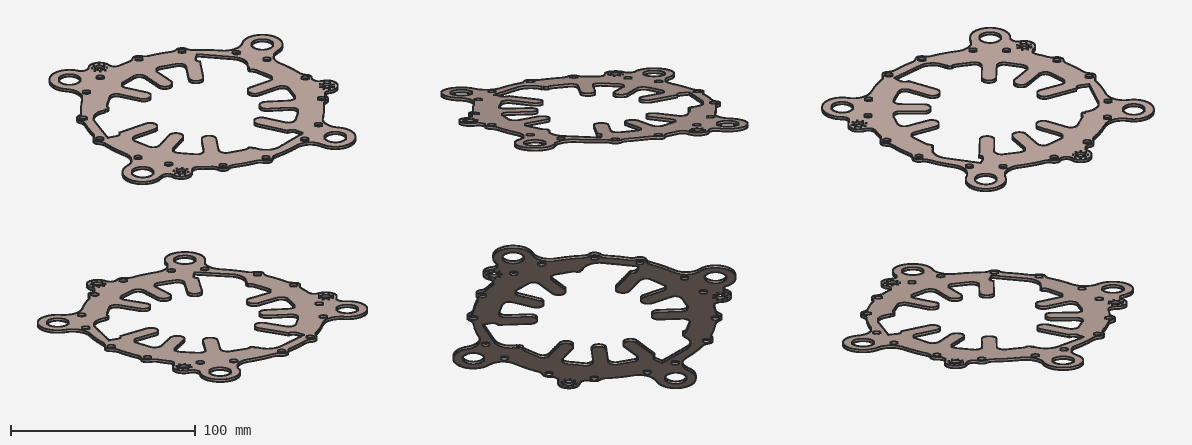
import cadquery as cq
import math

THICKNESS = 1.6
DISC_RADIUS = 65.9

LOBE_OFFSET = 55.8
LOBE_RADIUS = 11.0
LOBE_HOLE = 12.0
LOBE_BLEND = 10.0

TAB_DISTANCE = 72.0
TAB_RADIUS = 6.0
TAB_HOLE = 5.2
TAB_ANGLES = (90, 210, 330)
PIN_HOLE = 0.6
PIN_CIRCLE_RADIUS = 4.0
PIN_COUNT = 8

BOLT_DISTANCE = 65.5
BOLT_HOLE = 4.2
BOSS_RADIUS = 3.5
BOSS_ANGLE = 11
LOBE_BOLT_ANGLE = 37
BOSS_BLEND = 5.0
TAB_BLEND = 4.0

WINDOW_APOTHEM = 51.8
WINDOW_SIDES = 12
FINGER_WIDTH = 8.0
FINGER_END_DISTANCE = 35.0
FINGER_ROOT_RADIUS = 4.0
FINGER_OVERLAP = 2.9
FINGER_SPACING = 360 / WINDOW_SIDES
HALF_SIDE_ANGLE = 180 / WINDOW_SIDES

PATTERN_ANGLES = (0, 120, 240)
MISSING_FINGER = 255
POCKET_LEFT = -16.6
POCKET_RIGHT = 12.8
POCKET_DEPTH = 59.8
POCKET_LARGE_RADIUS = 9.5
POCKET_SMALL_RADIUS = 3.2
POCKET_LIP = 49.1
POCKET_MOUTH = 43.7


def polar(distance, angle):
    return (
        distance * math.cos(math.radians(angle)),
        distance * math.sin(math.radians(angle)),
    )


def angles_beside_axes(offset):
    return [axis + turn for axis in (0, 90, 180, 270) for turn in (-offset, offset)]


def cylinder(center, radius):
    return cq.Workplane("XY").center(*center).circle(radius).extrude(THICKNESS)


def prism(points):
    return cq.Workplane("XY").polyline(points).close().extrude(THICKNESS)


def turned(solid, angle):
    return solid.rotate((0, 0, 0), (0, 0, 1), angle)


def blend(first, second, radius):
    """Web that rounds the notch on the left of the way from the first circle to the second."""
    (x1, y1), r1 = first
    (x2, y2), r2 = second
    span = math.hypot(x2 - x1, y2 - y1)
    ux, uy = (x2 - x1) / span, (y2 - y1) / span
    reach1, reach2 = r1 + radius, r2 + radius
    along = (reach1**2 - reach2**2 + span**2) / (2 * span)
    aside = math.sqrt(reach1**2 - along**2)
    center = (x1 + ux * along - uy * aside, y1 + uy * along + ux * aside)
    return prism([(x1, y1), (x2, y2), center]).cut(cylinder(center, radius))


def finger():
    """Finger along +X with a rounded inner end, sunk into the frame beyond the window side."""
    length = WINDOW_APOTHEM + FINGER_OVERLAP - FINGER_END_DISTANCE
    bar = (
        cq.Workplane("XY")
        .center(FINGER_END_DISTANCE + length / 2, 0)
        .rect(length, FINGER_WIDTH)
        .extrude(THICKNESS)
    )
    return bar.union(cylinder((FINGER_END_DISTANCE, 0), FINGER_WIDTH / 2))


def finger_root(side):
    """Web between a finger along +X and the window side at +Y (side 1) or -Y (side -1)."""
    slope = math.radians(HALF_SIDE_ANGLE)
    half = FINGER_WIDTH / 2
    corner_x = (WINDOW_APOTHEM - half * math.sin(slope)) / math.cos(slope)
    center_y = half + FINGER_ROOT_RADIUS
    center_x = (WINDOW_APOTHEM - FINGER_ROOT_RADIUS - center_y * math.sin(slope)) / math.cos(slope)
    touch_x = center_x + FINGER_ROOT_RADIUS * math.cos(slope)
    touch_y = center_y + FINGER_ROOT_RADIUS * math.sin(slope)
    points = [(center_x, half), (corner_x, half), (touch_x, touch_y), (center_x, center_y)]
    web = prism([(x, side * y) for x, y in points])
    return web.cut(cylinder((center_x, side * center_y), FINGER_ROOT_RADIUS))


def pocket():
    """Pocket below the window, with a flared left lip and one large and one small round corner."""
    flare = POCKET_LIP - POCKET_MOUTH
    large, small = POCKET_LARGE_RADIUS, POCKET_SMALL_RADIUS
    diagonal = math.sqrt(0.5)
    large_mid = (POCKET_LEFT + large * (1 - diagonal), -POCKET_DEPTH + large * (1 - diagonal))
    small_mid = (POCKET_RIGHT - small * (1 - diagonal), -WINDOW_APOTHEM - small * (1 - diagonal))
    return (
        cq.Workplane("XY")
        .moveTo(POCKET_LEFT - flare, -POCKET_MOUTH)
        .lineTo(POCKET_LEFT, -POCKET_LIP)
        .lineTo(POCKET_LEFT, -POCKET_DEPTH + large)
        .threePointArc(large_mid, (POCKET_LEFT + large, -POCKET_DEPTH))
        .lineTo(POCKET_RIGHT, -POCKET_DEPTH)
        .lineTo(POCKET_RIGHT, -WINDOW_APOTHEM - small)
        .threePointArc(small_mid, (POCKET_RIGHT - small, -WINDOW_APOTHEM))
        .lineTo(0, -WINDOW_APOTHEM)
        .lineTo(0, -POCKET_MOUTH)
        .close()
        .extrude(THICKNESS)
    )


disc = ((0, 0), DISC_RADIUS)
lobes = [
    ((sx * LOBE_OFFSET, sy * LOBE_OFFSET), LOBE_RADIUS)
    for sx, sy in ((1, 1), (-1, 1), (-1, -1), (1, -1))
]
tabs = [(polar(TAB_DISTANCE, angle), TAB_RADIUS) for angle in TAB_ANGLES]
boss_angles = angles_beside_axes(BOSS_ANGLE)
bosses = [(polar(BOLT_DISTANCE, angle), BOSS_RADIUS) for angle in boss_angles]

plate = cylinder(*disc)
for circle in lobes + tabs + bosses:
    plate = plate.union(cylinder(*circle))
top_tab, left_tab, right_tab = tabs
right_boss, left_boss = bosses[2:4]
lower_left_lobe, lower_right_lobe = lobes[2:]

disc_blends = [(lobe, LOBE_BLEND) for lobe in lobes] + [(boss, BOSS_BLEND) for boss in bosses]
for circle, radius in disc_blends:
    plate = plate.union(blend(circle, disc, radius)).union(blend(disc, circle, radius))
plate = plate.union(blend(left_tab, disc, TAB_BLEND)).union(blend(disc, right_tab, TAB_BLEND))

neighbours = [
    (right_boss, top_tab),
    (top_tab, left_boss),
    (left_tab, lower_left_lobe),
    (lower_right_lobe, right_tab),
]
for first, second in neighbours:
    plate = plate.union(blend(second, first, TAB_BLEND))
    plate = plate.union(prism([disc[0], first[0], second[0]]))

corner_distance = WINDOW_APOTHEM / math.cos(math.radians(HALF_SIDE_ANGLE))
corner_angles = [HALF_SIDE_ANGLE * (2 * i + 1) for i in range(WINDOW_SIDES)]
plate = plate.cut(prism([polar(corner_distance, angle) for angle in corner_angles]))

for turn in PATTERN_ANGLES:
    missing = MISSING_FINGER + turn
    first, middle, last = [missing + FINGER_SPACING * step for step in (1, 2, 3)]
    for angle in (first, middle, last):
        plate = plate.union(turned(finger(), angle))
        plate = plate.union(turned(finger_root(1), angle))
    for angle in (middle, last, missing):
        plate = plate.union(turned(finger_root(-1), angle))
    plate = plate.cut(turned(pocket(), turn))

for center, _ in lobes:
    plate = plate.cut(cylinder(center, LOBE_HOLE / 2))

for angle in boss_angles + angles_beside_axes(LOBE_BOLT_ANGLE):
    plate = plate.cut(cylinder(polar(BOLT_DISTANCE, angle), BOLT_HOLE / 2))

for (center, _), tab_angle in zip(tabs, TAB_ANGLES):
    plate = plate.cut(cylinder(center, TAB_HOLE / 2))
    for i in range(PIN_COUNT):
        dx, dy = polar(PIN_CIRCLE_RADIUS, tab_angle + i * 360 / PIN_COUNT)
        plate = plate.cut(cylinder((center[0] + dx, center[1] + dy), PIN_HOLE / 2))

result = plate